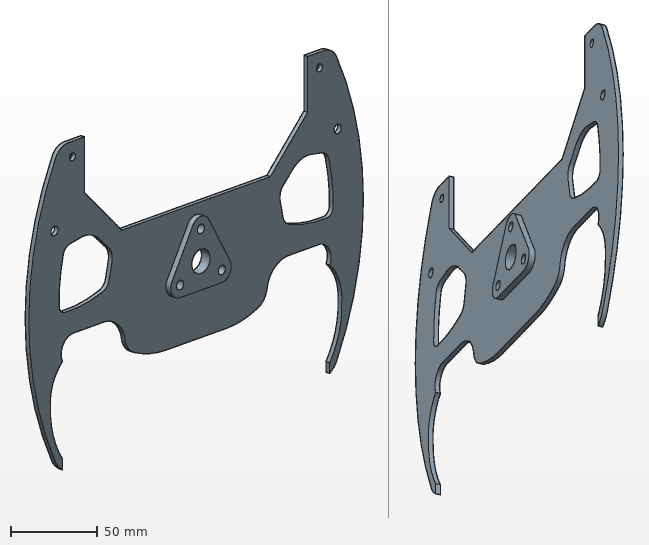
import cadquery as cq
import math

plate_thickness = 3.0
overall_depth = 7.0
half_width = 139.7

bore_diameter = 15.0
bolt_hole_diameter = 6.0
bolt_circle_radius = 20.0
bolt_angles = (90, 210, 330)
pad_corner_radius = 7.8

horn_top = 101.1
horn_inner = 93.0
rim_end = (117.3, 94.5)
rim_corner_mid = (114.0, 98.5)
rim_corner_start = 107.5
tip_inner = 111.5
tip_bottom = -100.5
tip_inner_top = -94.0
grip_lower_mid = (119.3, -77.0)
grip_waist = (121.5, -58.7)
grip_upper_mid = (119.0, -44.0)
grip_cusp = (tip_inner, -33.2)

horn_foot = 66.5
panel_top = 35.0
panel_top_half_width = 62.0
recess_roof = -18.2
recess_outer = 103.5
recess_outer_mid = (109.8, -21.5)
recess_inner = 76.0
recess_inner_mid = (64.8, -23.2)
panel_corner_start = (59.2, -34.5)
panel_corner_mid = (56.5, -40.2)
panel_corner_end = (50.9, -44.1)
panel_sweep_mid = (38.5, -48.0)
panel_bottom = -49.5
panel_bottom_half_width = 25.7

grip_holes = ((103.0, 91.5, 4.7), (118.2, 49.5, 6.0))


def mirrored(half):
    """Join a half body with its reflection across Y = 0."""
    return half.union(half.mirror("XZ"))


def half_plate():
    y_rim, z_rim = rim_end
    y_corner, z_corner = rim_corner_mid
    outline = (
        cq.Workplane("YZ")
        .moveTo(0, panel_top)
        .lineTo(panel_top_half_width, panel_top)
        .lineTo(horn_inner, horn_foot)
        .lineTo(horn_inner, horn_top)
        .lineTo(rim_corner_start, horn_top)
        .threePointArc((y_corner, z_corner), (y_rim, z_rim))
        .threePointArc((half_width, 0), (y_rim, -z_rim))
        .threePointArc((y_corner, -z_corner), (tip_inner, tip_bottom))
        .lineTo(tip_inner, tip_inner_top)
        .threePointArc(grip_lower_mid, grip_waist)
        .threePointArc(grip_upper_mid, grip_cusp)
        .threePointArc(recess_outer_mid, (recess_outer, recess_roof))
        .lineTo(recess_inner, recess_roof)
        .threePointArc(recess_inner_mid, panel_corner_start)
        .threePointArc(panel_corner_mid, panel_corner_end)
        .threePointArc(panel_sweep_mid, (panel_bottom_half_width, panel_bottom))
        .lineTo(0, panel_bottom)
        .close()
    )
    return outline.extrude(plate_thickness)


def half_window():
    """Five-sided hand opening with rounded corners."""
    outline = (
        cq.Workplane("YZ")
        .moveTo(114.3, 1.7)
        .threePointArc((113.7, 16.2), (111.0, 32.5))
        .threePointArc((109.2, 35.8), (105.3, 38.0))
        .lineTo(95.0, 39.7)
        .threePointArc((87.2, 38.5), (80.2, 33.8))
        .lineTo(72.5, 26.3)
        .threePointArc((70.5, 22.4), (70.0, 18.2))
        .lineTo(72.6, 6.7)
        .threePointArc((74.5, 3.0), (78.5, 0.8))
        .threePointArc((92.8, -2.5), (108.5, -3.4))
        .threePointArc((112.5, -2.0), (114.3, 1.7))
        .close()
    )
    return outline.extrude(plate_thickness)


def hole(y, z, diameter):
    return cq.Workplane("YZ").center(y, z).circle(diameter / 2).extrude(overall_depth)


bolt_centres = [
    (bolt_circle_radius * math.cos(math.radians(a)), bolt_circle_radius * math.sin(math.radians(a)))
    for a in bolt_angles
]


def hub_pad():
    """Triangular pad whose rounded corners are concentric with the bolt holes."""
    return (
        cq.Workplane("YZ", origin=(plate_thickness, 0, 0))
        .polyline(bolt_centres)
        .close()
        .offset2D(pad_corner_radius, "arc")
        .extrude(overall_depth - plate_thickness)
    )


result = mirrored(half_plate()).union(hub_pad())
result = result.cut(mirrored(half_window()))

result = result.cut(hole(0, 0, bore_diameter))
for y, z in bolt_centres:
    result = result.cut(hole(y, z, bolt_hole_diameter))
for y, z, diameter in grip_holes:
    for side in (-1, 1):
        result = result.cut(hole(side * y, z, diameter))